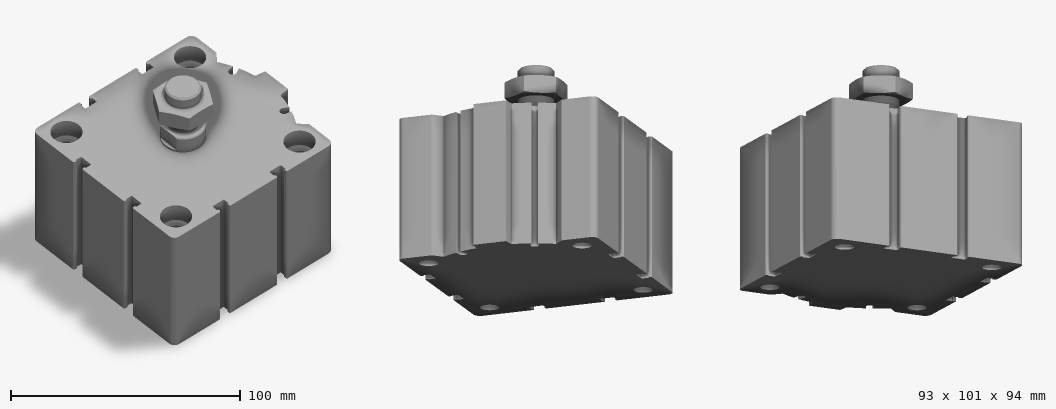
import cadquery as cq
import math


width = 93.0
overall_depth = 101.0
housing_height = 64.0
corner_radius = 3.0
half_width = width / 2
crown_radius = 50.0
notch_start_x = 30.4
rib_top_y = overall_depth - half_width
rib_top_half_width = 7.6
rib_base_half_width = 8.3

slot_offset = 16.6
slot_mouth_width = 5.3
slot_mouth_chamfer = 0.4
slot_inner_width = 6.7
slot_lip = 1.7
slot_depth = 4.8
slot_floor_fillet = 0.4

groove_angle = 21.0
groove_center_radius = 46.9
groove_radius = 1.9
groove_wall_angle = math.radians(10)
groove_reach = 5.0

hole_offset = 36.0
bolt_hole_diameter = 8.5
counterbore_diameter = 14.0
counterbore_depth = 8.6
lead_in_diameter = 10.3

rod_length = 30.0
collar_diameter = 20.0
collar_height = 8.2
collar_chamfer = 0.5
flat_distance = 17.0
flat_start = 1.1
neck_diameter = 13.9
neck_end = 10.3
neck_fillet = 0.7
taper_diameter = 14.3
thread_start = 13.1
thread_diameter = 16.0
tip_chamfer = 0.8

nut_width = 24.0
nut_height = 8.1
nut_start = 16.0
nut_chamfer_angle = math.radians(15)


def make_profile():
    """Square profile whose rear side is a ribbed crown between two notched corners."""
    notch_line_rise = half_width - notch_start_x
    notch_x = (math.sqrt(2 * crown_radius**2 - notch_line_rise**2) - notch_line_rise) / 2
    notch_y = notch_x + notch_line_rise
    rib_base_y = math.sqrt(crown_radius**2 - rib_base_half_width**2)
    arc_x = (notch_x + rib_base_half_width) / 2
    arc_y = math.sqrt(crown_radius**2 - arc_x**2)
    body = (
        cq.Workplane("XY")
        .moveTo(-half_width, -half_width)
        .lineTo(half_width, -half_width)
        .lineTo(half_width, half_width)
        .lineTo(notch_start_x, half_width)
        .lineTo(notch_x, notch_y)
        .threePointArc((arc_x, arc_y), (rib_base_half_width, rib_base_y))
        .lineTo(rib_top_half_width, rib_top_y)
        .lineTo(-rib_top_half_width, rib_top_y)
        .lineTo(-rib_base_half_width, rib_base_y)
        .threePointArc((-arc_x, arc_y), (-notch_x, notch_y))
        .lineTo(-notch_start_x, half_width)
        .lineTo(-half_width, half_width)
        .close()
        .extrude(housing_height)
    )
    return body.edges("|Z and (<X or >X)").fillet(corner_radius)


def make_t_slot():
    """T-slot cutter with a chamfered mouth toward -Y, centered on X = 0."""
    mouth = slot_mouth_width / 2
    inner = slot_inner_width / 2
    chamfered = mouth + slot_mouth_chamfer
    chamfer_y = slot_mouth_chamfer - half_width
    lip_y = slot_lip - half_width
    floor_y = slot_depth - half_width
    return (
        cq.Workplane("XY")
        .polyline(
            [
                (-chamfered, -half_width),
                (chamfered, -half_width),
                (mouth, chamfer_y),
                (mouth, lip_y),
                (inner, lip_y),
                (inner, floor_y),
                (-inner, floor_y),
                (-inner, lip_y),
                (-mouth, lip_y),
                (-mouth, chamfer_y),
            ]
        )
        .close()
        .extrude(housing_height)
        .edges("|Z and >Y")
        .fillet(slot_floor_fillet)
    )


def make_crown_groove():
    """Keyhole cutter on the +Y axis: round floor with tangent walls closing outward."""
    tangent_x = groove_radius * math.cos(groove_wall_angle)
    tangent_y = groove_radius * math.sin(groove_wall_angle)
    outer_x = tangent_x - (groove_reach - tangent_y) * math.tan(groove_wall_angle)
    return (
        cq.Workplane("XY", origin=(0, groove_center_radius, 0))
        .moveTo(outer_x, groove_reach)
        .lineTo(tangent_x, tangent_y)
        .threePointArc((0, -groove_radius), (-tangent_x, tangent_y))
        .lineTo(-outer_x, groove_reach)
        .close()
        .extrude(housing_height)
    )


def make_mounting_hole():
    """Through hole cutter on the Z axis with a counterbore and a 45 degree lead-in."""
    bolt_radius = bolt_hole_diameter / 2
    lead_in_radius = lead_in_diameter / 2
    counterbore_radius = counterbore_diameter / 2
    floor_z = housing_height - counterbore_depth
    return (
        cq.Workplane("XZ")
        .polyline(
            [
                (0, 0),
                (bolt_radius, 0),
                (bolt_radius, floor_z - (lead_in_radius - bolt_radius)),
                (lead_in_radius, floor_z),
                (counterbore_radius, floor_z),
                (counterbore_radius, housing_height),
                (0, housing_height),
            ]
        )
        .close()
        .revolve(360, (0, 0), (0, 1))
    )


def make_housing():
    body = make_profile()
    slot = make_t_slot()
    for side_angle in (-90, 0, 90):
        for offset in (-slot_offset, slot_offset):
            body = body.cut(slot.translate((offset, 0, 0)).rotate((0, 0, 0), (0, 0, 1), side_angle))
    groove = make_crown_groove()
    for angle in (-groove_angle, groove_angle):
        body = body.cut(groove.rotate((0, 0, 0), (0, 0, 1), angle))
    hole = make_mounting_hole()
    for x in (-hole_offset, hole_offset):
        for y in (-hole_offset, hole_offset):
            body = body.cut(hole.translate((x, y, 0)))
    return body


def make_rod():
    """Turned rod end standing on the housing, with two wrench flats on its collar."""
    collar_radius = collar_diameter / 2
    neck_radius = neck_diameter / 2
    taper_radius = taper_diameter / 2
    thread_radius = thread_diameter / 2
    fillet_middle = neck_fillet * (1 - math.sqrt(0.5))
    rod = (
        cq.Workplane("XZ")
        .moveTo(0, 0)
        .lineTo(collar_radius, 0)
        .lineTo(collar_radius, collar_height - collar_chamfer)
        .lineTo(collar_radius - collar_chamfer, collar_height)
        .lineTo(neck_radius + neck_fillet, collar_height)
        .threePointArc(
            (neck_radius + fillet_middle, collar_height + fillet_middle),
            (neck_radius, collar_height + neck_fillet),
        )
        .lineTo(neck_radius, neck_end)
        .lineTo(taper_radius, neck_end)
        .lineTo(thread_radius, thread_start)
        .lineTo(thread_radius, rod_length - tip_chamfer)
        .lineTo(thread_radius - tip_chamfer, rod_length)
        .lineTo(0, rod_length)
        .close()
        .revolve(360, (0, 0), (0, 1))
    )
    for side in (-1, 1):
        flat_cutter = cq.Workplane("XY").box(
            collar_diameter, flat_distance, collar_height - flat_start, centered=(True, True, False)
        )
        rod = rod.cut(flat_cutter.translate((0, side * flat_distance, flat_start)))
    return rod.translate((0, 0, housing_height))


def make_nut():
    """Hexagon nut with conical chamfers on both faces and corners on the Y axis."""
    corner_diameter = nut_width / math.cos(math.pi / 6)
    face_radius = nut_width / 2
    corner_radius_out = corner_diameter / 2
    chamfer_height = (corner_radius_out - face_radius) * math.tan(nut_chamfer_angle)
    hexagon = (
        cq.Workplane("XY")
        .polygon(6, corner_diameter)
        .extrude(nut_height)
        .rotate((0, 0, 0), (0, 0, 1), 90)
    )
    chamfer_envelope = (
        cq.Workplane("XZ")
        .polyline(
            [
                (0, 0),
                (face_radius, 0),
                (corner_radius_out, chamfer_height),
                (corner_radius_out, nut_height - chamfer_height),
                (face_radius, nut_height),
                (0, nut_height),
            ]
        )
        .close()
        .revolve(360, (0, 0), (0, 1))
    )
    bore = cq.Workplane("XY").circle(thread_diameter / 2).extrude(nut_height)
    nut = hexagon.intersect(chamfer_envelope).cut(bore)
    return nut.translate((0, 0, housing_height + nut_start))


housing = make_housing()
rod = make_rod()
nut = make_nut()

result = cq.Compound.makeCompound([housing.val(), rod.val(), nut.val()])